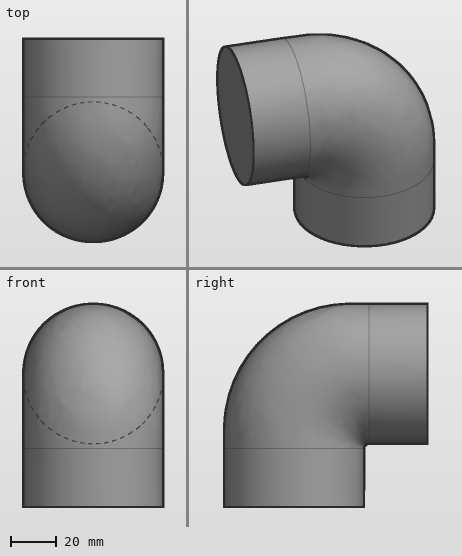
import math

import cadquery as cq

outer_diameter = 61.0
overall_length = 88.5
collar_length = 25.5
outer_bend_radius = 55.0
section_count = 13

outer_radius = outer_diameter / 2
end_distance = overall_length - outer_radius

pivot_distance = end_distance - collar_length
inner_bend_radius = pivot_distance - outer_radius
outer_reach = pivot_distance + outer_radius

straight_length = outer_reach - outer_bend_radius
straight_angle = math.atan2(straight_length, outer_reach)


def outside_distance(angle):
    """Distance from the pivot to the outside of the bend, measured in radians from the rear joint."""
    from_nearest_joint = min(angle, math.pi / 2 - angle)
    if from_nearest_joint <= straight_angle:
        return outer_reach / math.cos(from_nearest_joint)
    along_ray = straight_length * (math.cos(angle) + math.sin(angle))
    across_ray = straight_length * (math.cos(angle) - math.sin(angle))
    return along_ray + math.sqrt(outer_bend_radius**2 - across_ray**2)


def bend_section(angle):
    """Elliptical section of the bend in a plane through the pivot line."""
    outside = outside_distance(angle)
    middle = (outside + inner_bend_radius) / 2
    half_depth = (outside - inner_bend_radius) / 2
    outward = cq.Vector(0, -math.sin(angle), math.cos(angle))
    across = cq.Vector(1, 0, 0)
    pivot = cq.Vector(0, pivot_distance, -pivot_distance)
    ellipse = cq.Edge.makeEllipse(
        half_depth,
        outer_radius,
        pivot + outward * middle,
        across.cross(outward),
        outward,
    )
    return cq.Wire.assembleEdges([ellipse])


def make_bend():
    """Smooth quarter turn joining the two collars, fuller on the outside than a plain torus."""
    angle_step = math.pi / 2 / (section_count - 1)
    sections = [bend_section(index * angle_step) for index in range(section_count)]
    return cq.Workplane(cq.Solid.makeLoft(sections))


def make_collar(end_plane):
    """Straight cylindrical end, extruded from its end face towards the bend."""
    return cq.Workplane(end_plane).circle(outer_radius).extrude(collar_length)


bottom_end = cq.Plane((0, 0, -end_distance), (1, 0, 0), (0, 0, 1))
rear_end = cq.Plane((0, end_distance, 0), (1, 0, 0), (0, -1, 0))

result = make_bend().union(make_collar(bottom_end)).union(make_collar(rear_end))